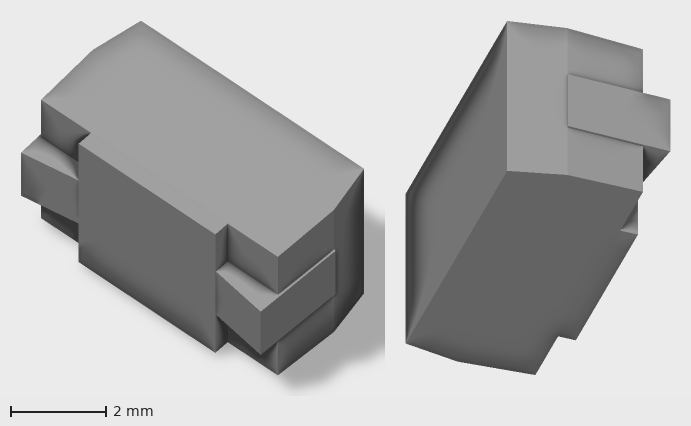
import cadquery as cq

back_width = 6.21
waist_width = 6.72
front_width = 6.595
waist_depth = 1.25
body_depth = 2.96
back_height = 4.0
front_height = 3.805

pad_width = 3.805
pad_depth = 3.355

overall_width = 6.82
overall_depth = 3.55
terminal_tip_width = 6.68
terminal_height = 1.385
terminal_inner_depth = 3.335


def make_body():
    """Hexagonal plan, with top and bottom faces tapering toward the front."""
    plan = (
        cq.Workplane("XY")
        .polyline([
            (-back_width / 2, 0),
            (back_width / 2, 0),
            (waist_width / 2, -waist_depth),
            (front_width / 2, -body_depth),
            (-front_width / 2, -body_depth),
            (-waist_width / 2, -waist_depth),
        ])
        .close()
        .extrude(back_height / 2, both=True)
    )
    taper = (
        cq.Workplane("YZ")
        .polyline([
            (0, -back_height / 2),
            (0, back_height / 2),
            (-body_depth, front_height / 2),
            (-body_depth, -front_height / 2),
        ])
        .close()
        .extrude(overall_width / 2, both=True)
    )
    return plan.intersect(taper)


def make_pad():
    """Flat pad, rooted at the waist so that it joins the body."""
    return cq.Workplane("XY").box(
        pad_width, pad_depth - waist_depth, front_height, centered=(True, False, True)
    ).translate((0, -pad_depth, 0))


def make_terminal(side):
    """Terminal on one end; side is -1 for the left end and 1 for the right."""
    return (
        cq.Workplane("XY")
        .polyline([
            (side * pad_width / 2, -waist_depth),
            (side * overall_width / 2, -waist_depth),
            (side * terminal_tip_width / 2, -overall_depth),
            (side * pad_width / 2, -terminal_inner_depth),
        ])
        .close()
        .extrude(terminal_height / 2, both=True)
    )


result = make_body().union(make_pad())
for end in (-1, 1):
    result = result.union(make_terminal(end))